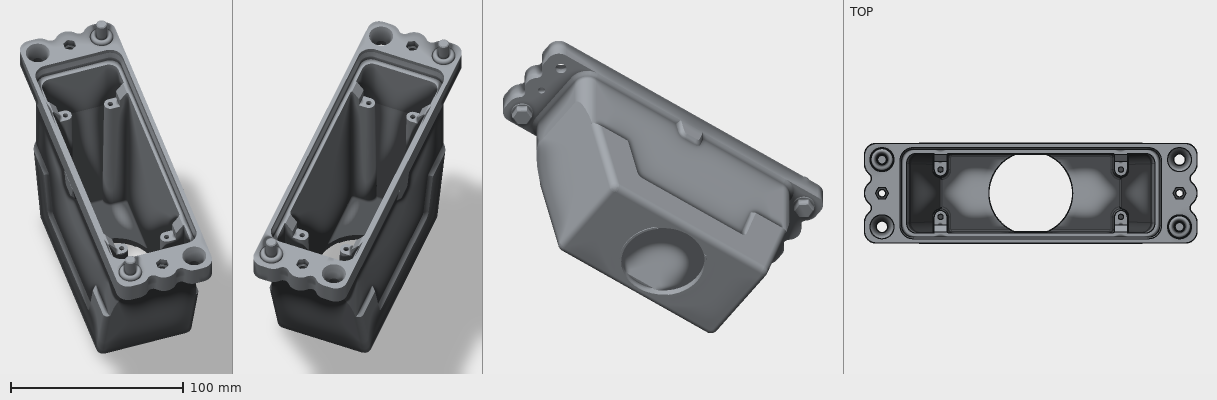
import cadquery as cq
import math


length = 193.0
depth = 58.0
pin_top_z = 11.8
base_z = -110.4

flange_depth = 57.9
flange_thickness = 12.4
flange_corner_radius = 7.0
lobe_radius = 7.7
scallop_radius = 3.5
lobe_pitch = 17.2

body_length = 150.5
body_depth = 53.3
body_corner_radius = 8.7
taper_angle = 15.0
taper_start_z = -35.0
neck_chamfer = 2.3
skirt_corner_radius = 4.2
skirt_base_radius = 3.7

skirt_top_z = -58.3
notch_bottom_z = -86.3
notch_half_width = 43.6
notch_corner_radius = 1.5
skirt_step = (depth - body_depth) / 2

lug_bottom_z = -24.5
lug_half_width = 10.2
lug_corner_radius = 4.6

recess_length = 151.7
recess_width = 52.9
recess_corner_radius = 7.7
recess_band_top = 2.7
recess_band_bottom = 6.0
recess_step = 1.0
ledge_z = -8.5
cavity_length = 144.0
cavity_depth = 46.3
cavity_corner_radius = 5.8
cavity_draft = 0.5
floor_fillet = 1.2
cavity_taper_start_z = -41.9
floor_half_length = 52.3
floor_thickness = 3.9

pillar_x = 52.3
pillar_y = 13.7
pillar_radius = 3.7
pillar_draft = 0.7
pillar_root_fillet = 1.5
pillar_top_z = -19.9
ramp_foot_y = 18.3
ramp_top_y = 22.5
ramp_foot_z = -14.0
pillar_hole_diameter = 3.0
pillar_hole_depth = 11.5

cable_hole_diameter = 48.5
cable_rim_diameter = 51.0
cable_rim_depth = 35.9
cable_rim_height = 0.5

screw_x = 86.3
screw_y = 19.5
screw_hole_diameter = 6.5
countersink_diameter = 13.9
countersink_depth = 8.7
nut_hole_diameter = 4.2
nut_across_corners = 7.7
nut_depth = 4.6
pin_diameter = 6.2
pin_chamfer = 0.5
ring_diameter = 12.7
washer_thickness = 0.8
head_across_corners = 11.5
head_bottom_z = -17.5
head_turn = 24.0
head_chamfer = 0.5

floor_z = base_z + floor_thickness
taper = math.tan(math.radians(taper_angle))


def rounded_block(size_x, size_y, radius, top_z, height, draft=0):
    """Rounded rectangle reaching down from top_z; a positive draft narrows it downwards."""
    block = cq.Workplane("XY").workplane(offset=top_z)
    outline = cq.Sketch().rect(size_x, size_y).vertices().fillet(radius)
    return block.placeSketch(outline).extrude(-height, taper=draft)


def front_prism(points, total_depth):
    """Outline in the XZ plane, extruded symmetrically about Y = 0."""
    return cq.Workplane("XZ").polyline(points).close().extrude(total_depth / 2, both=True)


def mirrored(points):
    """Closed outline from its +X half."""
    return points + [(-x, z) for x, z in reversed(points)]


def make_flange():
    half_x = length / 2
    half_y = flange_depth / 2
    lobe_x = half_x - lobe_radius
    reach = lobe_radius + scallop_radius
    scallop_y = lobe_pitch / 2
    scallop_x = lobe_x + math.sqrt(reach**2 - scallop_y**2)
    join_share = lobe_radius / reach
    join_x = lobe_x + join_share * (scallop_x - lobe_x)
    join_y = join_share * scallop_y
    outer_join_y = lobe_pitch - join_y
    scallop_floor_x = scallop_x - scallop_radius

    bend_angle = math.radians(25)
    bend_x = lobe_x + lobe_radius * math.cos(bend_angle)
    bend_y = lobe_pitch - lobe_radius * math.sin(bend_angle)

    half = (
        cq.Workplane("XY")
        .moveTo(0, -half_y)
        .lineTo(half_x, -half_y)
        .lineTo(half_x, -lobe_pitch)
        .threePointArc((bend_x, -bend_y), (join_x, -outer_join_y))
        .threePointArc((scallop_floor_x, -scallop_y), (join_x, -join_y))
        .threePointArc((half_x, 0), (join_x, join_y))
        .threePointArc((scallop_floor_x, scallop_y), (join_x, outer_join_y))
        .threePointArc((bend_x, bend_y), (half_x, lobe_pitch))
        .lineTo(half_x, half_y)
        .lineTo(0, half_y)
        .close()
    )
    half = half.extrude(-flange_thickness)
    half = half.edges("|Z and >X").edges(">Y or <Y").fillet(flange_corner_radius)
    return half.union(half.mirror("YZ"))


def make_skirt_notch():
    """Cutter for one side: opens outwards at 45 degrees from the body wall."""
    clear_x = length / 2
    bottom_half_width = notch_half_width - taper * (skirt_top_z - notch_bottom_z)
    outline = mirrored(
        [
            (bottom_half_width, notch_bottom_z),
            (notch_half_width, skirt_top_z),
            (clear_x, skirt_top_z),
            (clear_x, 0),
        ]
    )
    wall = cq.Workplane("XZ", origin=(0, -body_depth / 2, 0))
    sketch = cq.Sketch().polygon(outline + outline[:1])
    sketch = sketch.vertices("not >Y").fillet(notch_corner_radius)
    return wall.placeSketch(sketch).extrude(skirt_step, taper=-45)


def make_body():
    half_top = body_length / 2
    half_skirt_top = half_top - taper * (taper_start_z - skirt_top_z)
    half_base = half_top - taper * (taper_start_z - base_z)

    silhouette = [(half_skirt_top, skirt_top_z), (half_top, taper_start_z), (half_top, 0)]
    upper = rounded_block(body_length, body_depth, body_corner_radius, 0, -skirt_top_z)
    upper = upper.intersect(front_prism(mirrored(silhouette), depth))

    skirt = front_prism(mirrored([(half_base, base_z), (half_skirt_top, skirt_top_z)]), depth)
    skirt = skirt.edges("(not #Z) and (not |Y)").fillet(skirt_corner_radius)
    skirt = skirt.faces("<Z").edges().fillet(skirt_base_radius)
    notch = make_skirt_notch()
    skirt = skirt.cut(notch).cut(notch.mirror("XZ"))

    neck = rounded_block(
        body_length + 2 * neck_chamfer,
        body_depth + 2 * neck_chamfer,
        body_corner_radius + neck_chamfer,
        -flange_thickness,
        neck_chamfer,
        45,
    )
    return upper.union(skirt).union(neck)


def make_lugs():
    """Tapered lugs on both long sides, narrowing outwards at 45 degrees."""
    bottom_half_width = lug_half_width - taper * (-flange_thickness - lug_bottom_z)
    hidden_top_z = -flange_thickness / 2
    top_half_width = lug_half_width + taper * (hidden_top_z + flange_thickness)
    corners = mirrored([(bottom_half_width, lug_bottom_z), (top_half_width, hidden_top_z)])
    outline = cq.Sketch().polygon(corners + corners[:1]).vertices("<Y").fillet(lug_corner_radius)
    wall = cq.Workplane("XZ", origin=(0, -body_depth / 2, 0))
    lug = wall.placeSketch(outline).extrude(skirt_step, taper=45)
    above = cq.Workplane("XY", origin=(0, 0, -flange_thickness))
    above = above.rect(length, 2 * depth).extrude(flange_thickness)
    lug = lug.cut(above)
    return lug.union(lug.mirror("XZ"))


def make_recess():
    """Rim recess whose wall steps in along a sloping band."""
    upper = rounded_block(recess_length, recess_width, recess_corner_radius, 0, recess_band_top)
    lower = rounded_block(
        recess_length - 2 * recess_step,
        recess_width - 2 * recess_step,
        recess_corner_radius - recess_step,
        0,
        -ledge_z,
    )
    band_height = recess_band_bottom - recess_band_top
    band_slope = math.degrees(math.atan(recess_step / band_height))
    band = rounded_block(
        recess_length,
        recess_width,
        recess_corner_radius,
        -recess_band_top,
        band_height,
        band_slope,
    )
    return lower.union(band).union(upper)


def make_cavity():
    half_knee = floor_half_length + taper * (cavity_taper_start_z - floor_z)
    silhouette = [
        (floor_half_length, floor_z),
        (half_knee, cavity_taper_start_z),
        (cavity_length / 2, ledge_z),
    ]
    half_top = cavity_depth / 2
    half_floor = half_top - math.tan(math.radians(cavity_draft)) * (ledge_z - floor_z)
    section = mirrored([(half_floor, floor_z), (half_top, ledge_z)])
    well = cq.Workplane("YZ").polyline(section).close().extrude(length / 2, both=True)
    well = well.intersect(front_prism(mirrored(silhouette), depth))
    well = well.edges("not #Z").edges("(not |Y) and (not |X)").fillet(cavity_corner_radius)
    well = well.cut(make_pillars())
    for side_x in (-1, 1):
        for side_y in (-1, 1):
            inner_x = side_x * (pillar_x - pillar_radius)
            wall_y = side_y * cavity_depth / 2
            mid_z = (pillar_top_z + floor_z) / 2
            near_root = cq.selectors.NearestToPointSelector((inner_x, wall_y, mid_z))
            well = well.edges("not #Z").edges(near_root).fillet(pillar_root_fillet)
    well = well.faces("<Z").edges().fillet(floor_fillet)
    return well.union(make_recess())


def make_pillars():
    """Four drafted pillars joined to the long walls, each with a ramp up to the ledge."""
    wall_y = body_depth / 2
    slot_length = 2 * (wall_y - pillar_y + pillar_radius)
    pillar = (
        cq.Workplane("XY", origin=(pillar_x, wall_y, pillar_top_z))
        .slot2D(slot_length, 2 * pillar_radius, 90)
        .extrude(base_z - pillar_top_z, taper=-pillar_draft)
    )
    ramp = (
        cq.Workplane("YZ", origin=(pillar_x, 0, 0))
        .moveTo(ramp_foot_y, pillar_top_z)
        .lineTo(ramp_foot_y, ramp_foot_z)
        .lineTo(ramp_top_y, ledge_z)
        .lineTo(wall_y, ledge_z)
        .lineTo(wall_y, pillar_top_z)
        .close()
        .extrude(pillar_radius, both=True)
    )
    hole = (
        cq.Workplane("XY", origin=(pillar_x, pillar_y, pillar_top_z))
        .circle(pillar_hole_diameter / 2)
        .extrude(-pillar_hole_depth)
    )
    pillar = pillar.union(ramp).cut(hole)
    pair = pillar.union(pillar.mirror("XZ"))
    return pair.union(pair.mirror("YZ"))


def cut_flange_holes(part):
    """Countersunk holes at the corners and hexagonal nut pockets between them."""
    cone_angle = 2 * math.degrees(
        math.atan((countersink_diameter - screw_hole_diameter) / 2 / countersink_depth)
    )
    corners = [(sx * screw_x, sy * screw_y) for sx in (-1, 1) for sy in (-1, 1)]
    middles = [(-screw_x, 0), (screw_x, 0)]
    top = cq.Workplane("XY")
    part = (
        part.copyWorkplane(top)
        .pushPoints(corners)
        .cskHole(screw_hole_diameter, countersink_diameter, cone_angle, flange_thickness)
    )
    nuts = top.pushPoints(middles).polygon(6, nut_across_corners).extrude(-nut_depth)
    holes = top.pushPoints(middles).circle(nut_hole_diameter / 2).extrude(-flange_thickness)
    return part.cut(nuts).cut(holes)


def make_screw(x, y):
    """Screw with a sealing ring on top of the flange, a washer and a hexagon head below it."""

    def level(z):
        return cq.Workplane("XY", origin=(x, y, z))

    pin = level(head_bottom_z).circle(pin_diameter / 2).extrude(pin_top_z - head_bottom_z)
    pin = pin.faces(">Z").chamfer(pin_chamfer)
    washer_bottom_z = -flange_thickness - washer_thickness
    sleeve = level(washer_bottom_z).circle(ring_diameter / 2).extrude(-washer_bottom_z)
    ring_section = (ring_diameter - pin_diameter) / 4
    ring = cq.Solid.makeTorus(ring_diameter / 2 - ring_section, ring_section, cq.Vector(x, y, 0))
    head = level(head_bottom_z).transformed(rotate=(0, 0, head_turn)).polygon(6, head_across_corners)
    head = head.extrude(washer_bottom_z - head_bottom_z).faces("<Z").chamfer(head_chamfer)
    return pin.union(sleeve).union(ring).union(head)


def make_cable_rim():
    """Shallow raised arcs below the floor, cut off flat at both long sides."""
    rim = cq.Workplane("XY", origin=(0, 0, base_z - cable_rim_height))
    rim = rim.circle(cable_rim_diameter / 2).extrude(cable_rim_height + floor_thickness / 2)
    band = cq.Workplane("XY", origin=(0, 0, base_z)).box(length, cable_rim_depth, floor_thickness)
    return rim.intersect(band)


part = make_flange().union(make_body()).union(make_lugs()).union(make_cable_rim())
part = part.cut(make_cavity())
cable_hole = cq.Workplane("XY", origin=(0, 0, floor_z + floor_fillet))
cable_hole = cable_hole.circle(cable_hole_diameter / 2).extrude(-2 * floor_thickness)
part = part.cut(cable_hole)
part = cut_flange_holes(part)
for side in (-1, 1):
    part = part.union(make_screw(side * screw_x, -side * screw_y))
result = part